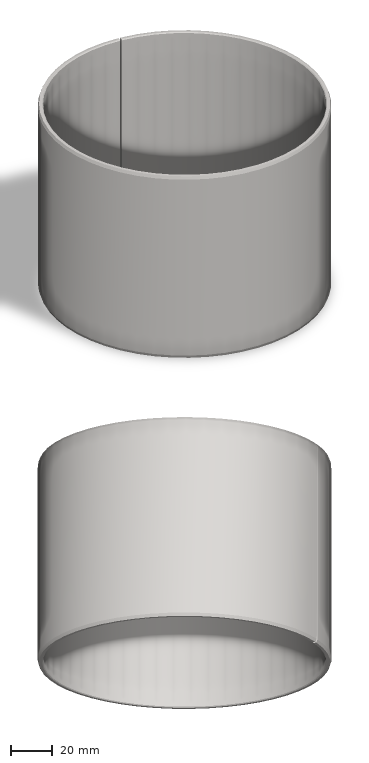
import cadquery as cq

outer_diameter = 140.0
wall = 2.5
height = 100.0
slit_width = 1.0
slit_offset = slit_width / 2
outer_chamfer_depth = 0.5
outer_chamfer_height = 1.5
inner_chamfer = 0.4

outer_radius = outer_diameter / 2
inner_radius = outer_radius - wall


def sleeve():
    """Revolve the wall section, with its chamfered rims, about Z."""
    half = height / 2
    section = [
        (inner_radius, -half + inner_chamfer),
        (inner_radius + inner_chamfer, -half),
        (outer_radius - outer_chamfer_depth, -half),
        (outer_radius, -half + outer_chamfer_height),
        (outer_radius, half - outer_chamfer_height),
        (outer_radius - outer_chamfer_depth, half),
        (inner_radius + inner_chamfer, half),
        (inner_radius, half - inner_chamfer),
    ]
    profile = cq.Workplane("XZ").polyline(section).close()
    ring = profile.revolve(360, (0, 0, 0), (0, 1, 0))
    return ring.rotate((0, 0, 0), (0, 0, 1), 180)


def slit():
    """Box through the full height of the wall on the -X side."""
    box = cq.Workplane("XY").box(outer_radius, slit_width, 2 * height)
    return box.translate((-outer_radius, slit_offset, 0))


result = sleeve().cut(slit())